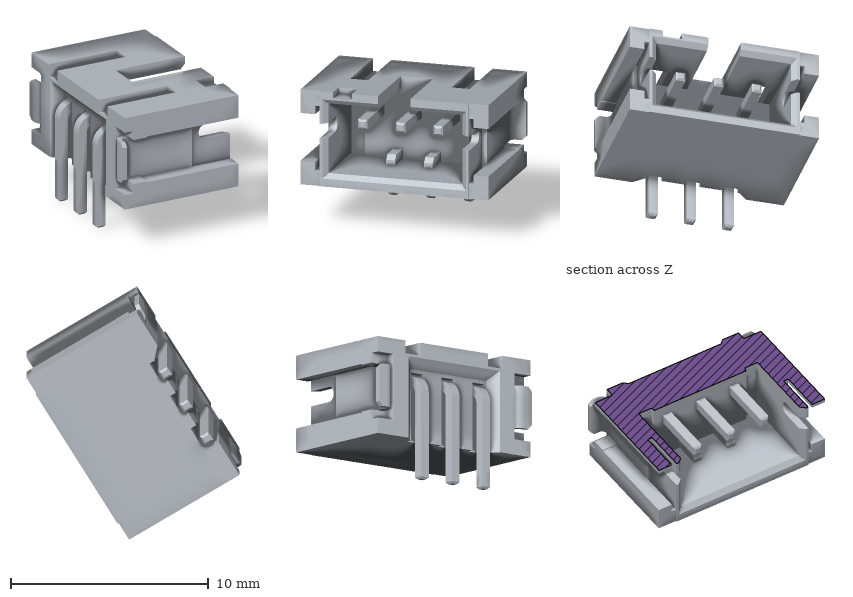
import cadquery as cq
import math


body_width = 9.95
body_height = 4.99
core_length = 6.6
flange_length = 6.54
mid_z = body_height / 2

shell_thickness = 0.67
side_wall = 0.4
rear_wall = 2.63
rear_wall_outer = 2.41
rear_step_x = 2.82
rear_step_slope = 0.05
mouth_chamfer = 0.25
rib_width = 0.47
rib_height = 0.5
rib_end_y = 3.99

key_slot_width = 1.72
rear_slot_width = 0.96
rear_slot_x = 2.69
rear_slot_length = 3.92
marker_width = 0.995
marker_length = 1.02
marker_depth = 0.34
marker_x = 2.74

core_half = 3.95
channel_floor = 4.2
channel_height = 2.51
clip_bay_height = 2.41
clip_bay_length = 1.28
clip_notch_height = 3.4
clip_notch_length = 0.51
undercut_start = 4.29
window_start = 4.8
window_height = 0.78
window_z = 2.91

recess_half = 2.985
recess_taper = 0.51
recess_top = body_height - 0.8

pitch = 2.0
pin_columns = (-pitch, 0, pitch)
pin_size = 0.5
pin_top = 3.37
pin_rear = -0.12
pin_tip_y = 5.58
pin_tip_z = -2.01
pin_bend_outer = 0.93
pin_tip_chamfer = 0.1
pin_groove_width = 0.8
pin_groove_top = 3.5
pin_groove_y = 0.85

clip_height = 2.19
clip_thickness = channel_floor - core_half
clip_rear = -0.11
clip_inner_bend = 0.27
clip_corner = 0.22
dimple_radius = 0.05


def block(x0, x1, y0, y1, z0, z1):
    """Box between two opposite corners."""
    return cq.Workplane("XY").box(x1 - x0, y1 - y0, z1 - z0, centered=False).translate((x0, y0, z0))


def level_block(x0, x1, y0, y1, height):
    """Box centred on the middle height of the housing."""
    return block(x0, x1, y0, y1, mid_z - height / 2, mid_z + height / 2)


def both_sides(shape):
    """The shape together with its mirror image across the middle plane."""
    return shape.union(shape.mirror("YZ"))


def mating_cavity():
    half_width = core_half - side_wall
    half_plan = [
        (0, rear_wall),
        (rear_step_x - rear_step_slope, rear_wall),
        (rear_step_x, rear_wall_outer),
        (half_width, rear_wall_outer),
        (half_width, core_length),
        (0, core_length),
    ]
    ceiling = body_height - shell_thickness
    plan = cq.Workplane("XY", origin=(0, 0, shell_thickness)).polyline(half_plan).close()
    cavity = both_sides(plan.extrude(ceiling - shell_thickness))

    inner_width = 2 * half_width
    inner_height = ceiling - shell_thickness
    flare = (
        cq.Workplane("XZ", origin=(0, core_length, mid_z))
        .rect(inner_width + 2 * mouth_chamfer, inner_height + 2 * mouth_chamfer)
        .workplane(offset=mouth_chamfer)
        .rect(inner_width, inner_height)
        .loft(combine=True)
    )
    return cavity.union(flare)


def cavity_ribs():
    """Two floor ribs midway between the pins, bevelled at their mating end."""
    top = shell_thickness + rib_height
    profile = [
        (rear_wall, shell_thickness),
        (rib_end_y, shell_thickness),
        (rib_end_y, top - mouth_chamfer),
        (rib_end_y - mouth_chamfer, top),
        (rear_wall, top),
    ]
    outline = cq.Workplane("YZ", origin=(pitch / 2, 0, 0)).polyline(profile).close()
    return both_sides(outline.extrude(rib_width / 2, both=True))


def top_openings():
    ceiling = body_height - shell_thickness
    key_half = key_slot_width / 2
    key_slot = block(-key_half, key_half, rear_wall, core_length, ceiling, body_height)
    slot_half = rear_slot_width / 2
    rear_slot = block(
        rear_slot_x - slot_half, rear_slot_x + slot_half, 0, rear_slot_length, ceiling, body_height
    )
    marker = block(
        marker_x - marker_width / 2,
        marker_x + marker_width / 2,
        core_length - marker_length,
        core_length,
        body_height - marker_depth,
        body_height,
    )
    return key_slot.union(both_sides(rear_slot)).union(marker)


def side_channels():
    edge = body_width / 2
    channel = level_block(channel_floor, edge, clip_bay_length, core_length, channel_height)
    clip_bay = level_block(core_half, edge, 0, clip_bay_length, clip_bay_height)
    clip_notch = level_block(core_half, edge, 0, clip_notch_length, clip_notch_height)
    undercut = level_block(core_half, channel_floor, undercut_start, core_length, clip_notch_height)
    return both_sides(channel.union(clip_bay).union(clip_notch).union(undercut))


def side_windows():
    """Round-ended slot through both side walls, open at the mating end."""
    radius = window_height / 2
    arc_y = window_start + radius
    profile = (
        cq.Workplane("YZ")
        .moveTo(core_length, window_z - radius)
        .lineTo(arc_y, window_z - radius)
        .threePointArc((window_start, window_z), (arc_y, window_z + radius))
        .lineTo(core_length, window_z + radius)
        .close()
    )
    return profile.extrude(core_half, both=True)


def rear_recess():
    """Recess with 45 degree walls and a groove around each pin."""
    height = 2 * recess_top
    floor_width = 2 * (recess_half - recess_taper)
    recess = (
        cq.Workplane("XZ")
        .rect(2 * recess_half, height)
        .workplane(offset=-recess_taper)
        .rect(floor_width, height - 2 * recess_taper)
        .loft(combine=True)
    )
    groove_half = pin_groove_width / 2
    for x in pin_columns:
        recess = recess.union(block(x - groove_half, x + groove_half, 0, pin_groove_y, 0, pin_groove_top))
    return recess


def housing():
    core = block(-core_half, core_half, 0, core_length, 0, body_height)
    flanges = block(-body_width / 2, body_width / 2, 0, flange_length, 0, body_height)
    body = core.union(flanges)
    for cutter in (mating_cavity(), top_openings(), side_channels(), side_windows(), rear_recess()):
        body = body.cut(cutter)
    return body.union(cavity_ribs())


def pin(x):
    bend_inner = pin_bend_outer - pin_size
    bend_y = pin_rear + pin_bend_outer
    bend_z = pin_top - pin_bend_outer
    diagonal = math.sqrt(0.5)
    profile = (
        cq.Workplane("YZ", origin=(x, 0, 0))
        .moveTo(pin_rear, pin_tip_z)
        .lineTo(pin_rear, bend_z)
        .threePointArc(
            (bend_y - pin_bend_outer * diagonal, bend_z + pin_bend_outer * diagonal), (bend_y, pin_top)
        )
        .lineTo(pin_tip_y, pin_top)
        .lineTo(pin_tip_y, pin_top - pin_size)
        .lineTo(bend_y, pin_top - pin_size)
        .threePointArc(
            (bend_y - bend_inner * diagonal, bend_z + bend_inner * diagonal), (pin_rear + pin_size, bend_z)
        )
        .lineTo(pin_rear + pin_size, pin_tip_z)
        .close()
    )
    bar = profile.extrude(pin_size / 2, both=True)
    return bar.faces("<Z").chamfer(pin_tip_chamfer).faces(">Y").chamfer(pin_tip_chamfer)


def solder_clip():
    """Right-hand clip: a plate on the side wall, bent outwards into a solder tab."""
    bend_outer = clip_inner_bend + clip_thickness
    bend_x = channel_floor + clip_inner_bend
    bend_y = clip_rear + bend_outer
    tab_x = body_width / 2
    diagonal = math.sqrt(0.5)
    profile = (
        cq.Workplane("XY", origin=(0, 0, mid_z))
        .moveTo(core_half, clip_bay_length)
        .lineTo(core_half, bend_y)
        .threePointArc(
            (bend_x - bend_outer * diagonal, bend_y - bend_outer * diagonal), (bend_x, clip_rear)
        )
        .lineTo(tab_x, clip_rear)
        .lineTo(tab_x, clip_rear + clip_thickness)
        .lineTo(bend_x, clip_rear + clip_thickness)
        .threePointArc(
            (bend_x - clip_inner_bend * diagonal, bend_y - clip_inner_bend * diagonal),
            (channel_floor, bend_y),
        )
        .lineTo(channel_floor, clip_bay_length)
        .close()
    )
    return profile.extrude(clip_height / 2, both=True).faces(">X").edges("|Y").chamfer(clip_corner)


def clip_dimple():
    """Small round dimple where the left tab meets its bend."""
    dimple_x = -(channel_floor + clip_inner_bend)
    return cq.Workplane("XY").sphere(dimple_radius).translate((dimple_x, clip_rear, mid_z))


result = housing().union(both_sides(solder_clip())).cut(clip_dimple())
for column in pin_columns:
    result = result.union(pin(column))